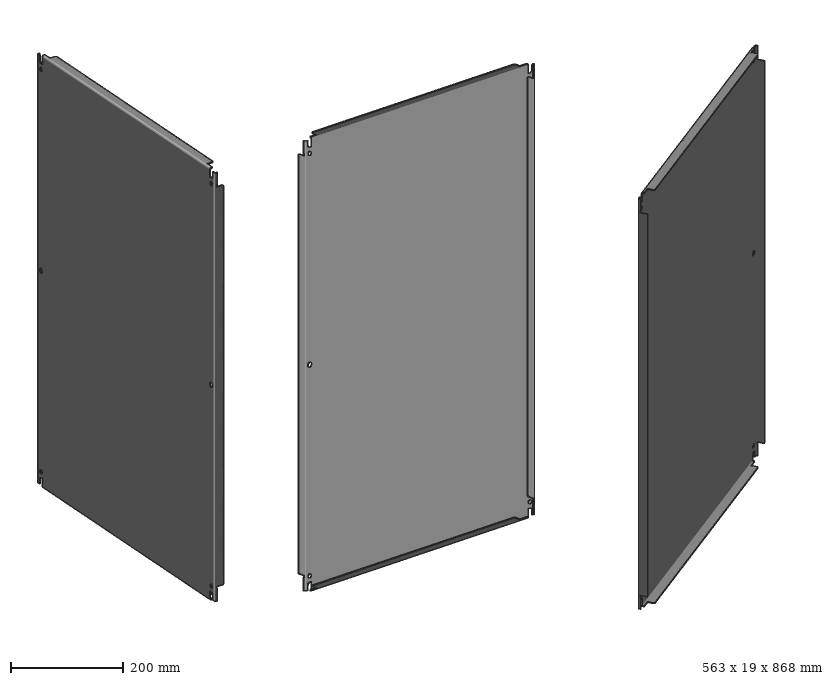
import cadquery as cq

width = 563.0
depth = 19.0
height = 868.0
thickness = 2.2

bend_radius = 3.5
flange_inset = 33.0
flange_corner = 3.0

lip_depth = 5.6
side_lip_inset = 4.0
relief_width = 3.5
relief_depth = 4.0

notch_near = 7.4
notch_far = 16.5
notch_floor = 18.0
notch_round = 4.0

hole_side_offset = 12.0
hole_end_offset = 30.0
corner_hole_diameter = 8.0
middle_hole_diameter = 9.5

half_width = width / 2
half_height = height / 2
inner_radius = bend_radius - thickness
side_lip_length = height - 2 * side_lip_inset
end_lip_length = width - 2 * notch_far


def block(size_x, back, size_z, front=0):
    """Block centred on X and Z, reaching from Y = front to Y = back."""
    return (
        cq.Workplane("XY")
        .box(size_x, back - front, size_z, centered=(True, False, True))
        .translate((0, front, 0))
    )


def channel(span, length):
    """U-shaped sheet: a face spanning X with both long edges bent back."""
    outer = block(span, depth, length).faces("<Y").edges("|Z").fillet(bend_radius)
    hollow = (
        block(span - 2 * thickness, depth, length, front=thickness)
        .faces("<Y").edges("|Z").fillet(inner_radius)
    )
    return outer.cut(hollow)


def flange_profile(span, lip_length, flange_length, relief):
    """Stepped outline along Z of a bent edge: lips, relief gaps and full-depth flange."""
    gap_length = flange_length + 2 * relief
    lips = block(span, lip_depth, lip_length).cut(
        block(span, lip_depth, gap_length, front=relief_depth)
    )
    flange = block(span, depth, flange_length).faces(">Y").edges("|X").fillet(flange_corner)
    return lips.union(flange)


def bent_sheet(span, lip_length, flange_length, relief=0):
    """Face with a flange and its lips along each of its two X sides."""
    profile = flange_profile(span, lip_length, flange_length, relief)
    return channel(span, lip_length).intersect(profile)


def corner_notches():
    """Notches open to the top and bottom of the panel, one in each corner."""
    notch = (
        cq.Workplane("XY")
        .box(notch_far - notch_near, depth, notch_floor, centered=False)
        .translate((half_width - notch_far, 0, half_height - notch_floor))
        .faces("<Z").edges(">X").fillet(notch_round)
    )
    upper_notches = notch.union(notch.mirror("YZ"))
    return upper_notches.union(upper_notches.mirror("XY"))


def hole_columns(diameter, heights):
    """Through holes in the face at the given heights, near both sides."""
    hole_x = half_width - hole_side_offset
    centres = [(x, z) for x in (-hole_x, hole_x) for z in heights]
    return cq.Workplane("XZ").pushPoints(centres).circle(diameter / 2).extrude(-depth)


sides = bent_sheet(width, side_lip_length, height - 2 * flange_inset, relief_width)
ends = bent_sheet(height, end_lip_length, width - 2 * flange_inset).rotate((0, 0, 0), (0, 1, 0), 90)

corner_hole_z = half_height - hole_end_offset

end_clearance = block(end_lip_length, depth, height).cut(
    block(end_lip_length, depth, height - 2 * notch_floor)
)

result = (
    sides.cut(end_clearance)
    .union(ends)
    .cut(corner_notches())
    .cut(hole_columns(corner_hole_diameter, (-corner_hole_z, corner_hole_z)))
    .cut(hole_columns(middle_hole_diameter, (0,)))
    .translate((0, -depth / 2, 0))
)